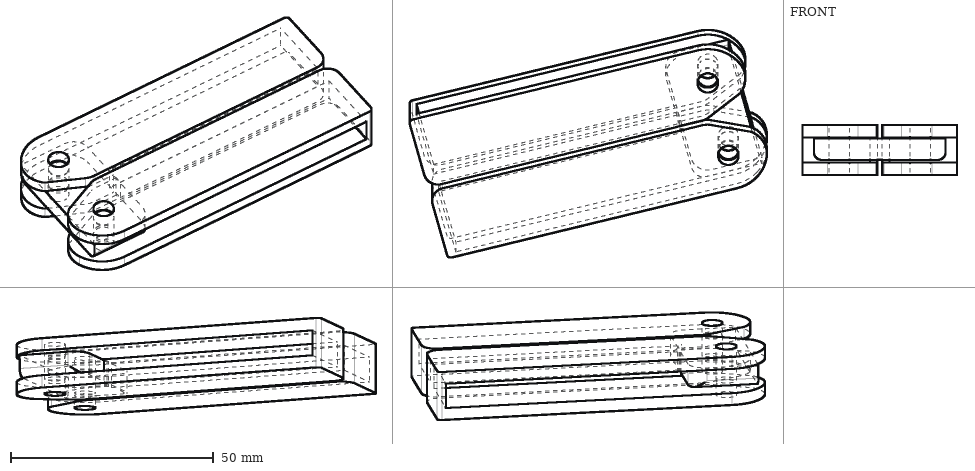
import cadquery as cq
import math

LENGTH = 83.3
WIDTH = 38.1
HEIGHT = 12.4
HANDLE_GAP = 1.2
OUTER_X = WIDTH / 2
INNER_X = HANDLE_GAP / 2

PIVOT_X = 10.0
PIVOT_Y = 9.5
PIVOT_DIAMETER = 5.1

SIDE_ARC_START_Y = 9.7
SIDE_ARC_RADIUS = 9.9
NOSE_RADIUS = 6.5
NOSE_END_Y = 2.4
TAPER_END_Y = 12.6
TAPER_BLEND_RADIUS = 5.0
OUTER_CORNER_RADIUS = 1.0
INNER_CORNER_RADIUS = 3.5

PLATE_THICKNESS = 3.1
END_WALL = 2.0
SPINE_THICKNESS = 1.8
SPINE_START_Y = 19.5
CHANNEL_HEIGHT = HEIGHT - 2 * PLATE_THICKNESS

BLOCK_WIDTH = 32.5
BLOCK_START_Y = 2.6
BLOCK_LENGTH = SPINE_START_Y - BLOCK_START_Y
BLOCK_TOP_CLEARANCE = 0.25
BLOCK_BOTTOM_CLEARANCE = 0.7
BLOCK_HEIGHT = CHANNEL_HEIGHT - BLOCK_TOP_CLEARANCE - BLOCK_BOTTOM_CLEARANCE
BLOCK_CORNER_RADIUS = 4.1
BLOCK_EDGE_RADIUS = 2.0


def point_on_circle(center, radius, angle):
    return (center[0] + radius * math.cos(angle), center[1] + radius * math.sin(angle))


def handle_blank():
    """Right-hand handle outline, with a two-arc nose and a tapered inner edge."""
    side_center = (OUTER_X - SIDE_ARC_RADIUS, SIDE_ARC_START_Y)

    nose_offset_y = SIDE_ARC_START_Y - NOSE_RADIUS
    nose_offset_x = math.sqrt((SIDE_ARC_RADIUS - NOSE_RADIUS) ** 2 - nose_offset_y**2)
    nose_center = (side_center[0] + nose_offset_x, NOSE_RADIUS)
    join_angle = -math.atan2(nose_offset_y, nose_offset_x)
    arc_join = point_on_circle(side_center, SIDE_ARC_RADIUS, join_angle)
    side_middle = point_on_circle(side_center, SIDE_ARC_RADIUS, join_angle / 2)

    nose_drop = NOSE_RADIUS - NOSE_END_Y
    nose_end = (nose_center[0] - math.sqrt(NOSE_RADIUS**2 - nose_drop**2), NOSE_END_Y)
    nose_bottom = (nose_center[0], 0)

    blank = (
        cq.Workplane("XY")
        .moveTo(OUTER_X, LENGTH)
        .lineTo(OUTER_X, SIDE_ARC_START_Y)
        .threePointArc(side_middle, arc_join)
        .threePointArc(nose_bottom, nose_end)
        .lineTo(INNER_X, TAPER_END_Y)
        .lineTo(INNER_X, LENGTH)
        .close()
        .extrude(HEIGHT)
    )
    corners = (
        (OUTER_X, LENGTH, OUTER_CORNER_RADIUS),
        (INNER_X, LENGTH, INNER_CORNER_RADIUS),
        (INNER_X, TAPER_END_Y, TAPER_BLEND_RADIUS),
    )
    for x, y, radius in corners:
        corner_edge = cq.selectors.NearestToPointSelector((x, y, HEIGHT / 2))
        blank = blank.edges("|Z").edges(corner_edge).fillet(radius)
    return blank


def channel_box(x_start, y_start, y_end):
    """Cutter of channel height reaching from x_start to the outer side."""
    size = (OUTER_X - x_start, y_end - y_start, CHANNEL_HEIGHT)
    corner = (x_start, y_start, PLATE_THICKNESS)
    return cq.Workplane("XY").box(*size, centered=False).translate(corner)


def pivot_hole(x):
    return cq.Workplane("XY").center(x, PIVOT_Y).circle(PIVOT_DIAMETER / 2).extrude(HEIGHT)


def make_handle(mirrored):
    long_channel = channel_box(INNER_X + SPINE_THICKNESS, SPINE_START_Y, LENGTH - END_WALL)
    pivot_opening = channel_box(INNER_X, 0, SPINE_START_Y)
    handle = handle_blank().cut(long_channel).cut(pivot_opening).cut(pivot_hole(PIVOT_X))
    return handle.mirror("YZ") if mirrored else handle


def make_pivot_block():
    """Block that joins the handles, rounded at its rear corners and lower side edges."""
    plan = (
        cq.Workplane("XY")
        .box(BLOCK_WIDTH, BLOCK_LENGTH, BLOCK_HEIGHT, centered=(True, False, False))
        .edges("|Z and >Y")
        .fillet(BLOCK_CORNER_RADIUS)
    )
    section = (
        cq.Workplane("XY")
        .box(BLOCK_WIDTH, BLOCK_LENGTH, BLOCK_HEIGHT, centered=(True, False, False))
        .edges("|Y and <Z")
        .fillet(BLOCK_EDGE_RADIUS)
    )
    block_position = (0, BLOCK_START_Y, PLATE_THICKNESS + BLOCK_BOTTOM_CLEARANCE)
    block = plan.intersect(section).translate(block_position)
    for x in (-PIVOT_X, PIVOT_X):
        block = block.cut(pivot_hole(x))
    return block


handles = [make_handle(mirrored) for mirrored in (False, True)]
pivot_block = make_pivot_block()

result = cq.Compound.makeCompound([*(handle.val() for handle in handles), pivot_block.val()])